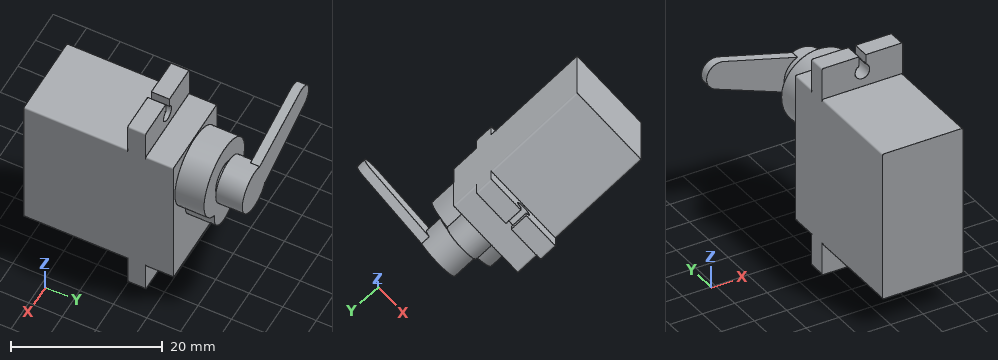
import cadquery as cq
import math


case_width = 12.45
case_length = 22.33
case_height = 22.8
edge_radius = 0.3

flange_height = 32.45
flange_start = 15.5
flange_thickness = 2.7
screw_hole_diameter = 2.25
screw_hole_inset = 2.45
slot_width = 1.05

axis_z = 5.35
turret_diameter = 11.55
turret_length = 4.35
lobe_diameter = 5.58
lobe_drop = 6.0

shaft_diameter = 4.93
shaft_length = 0.55
hub_diameter = 7.0
hub_length = 3.95
arm_thickness = 1.4
arm_tip_radius = 2.08
arm_tip_x = -13.35
arm_tip_rise = 4.28
upper_root = (-0.8, 3.02)
lower_root = (-2.27, -2.1)

turret_end = case_length + turret_length
shaft_end = turret_end + shaft_length
horn_end = shaft_end + hub_length


def plane_at(y, z=0.0):
    """Work plane facing -Y; negative extrusions run toward +Y."""
    return cq.Workplane("XZ", origin=(0, y, z))


def rounded_block(height, start, length):
    """Case-wide block with its four edges along Y rounded."""
    block = plane_at(start).rect(case_width, height).extrude(-length)
    return block.edges("|Y").fillet(edge_radius)


def cylinder(diameter, start, length, z=axis_z):
    return plane_at(start, z).circle(diameter / 2).extrude(-length)


def keyhole(end):
    """Cutter for the screw hole and its open slot; end is +1 for top, -1 for bottom."""
    hole_z = flange_height / 2 - screw_hole_inset
    hole = cylinder(screw_hole_diameter, flange_start, flange_thickness, end * hole_z)
    slot_z = end * (hole_z + screw_hole_inset / 2)
    slot = (
        plane_at(flange_start, slot_z)
        .rect(slot_width, screw_hole_inset)
        .extrude(-flange_thickness)
    )
    return hole.union(slot)


def gear_cover():
    lobe_z = axis_z - lobe_drop
    turret = cylinder(turret_diameter, case_length, turret_length)
    lobe_end = cylinder(lobe_diameter, case_length, turret_length, lobe_z)
    bridge = (
        plane_at(case_length, axis_z - lobe_drop / 2)
        .rect(lobe_diameter, lobe_drop)
        .extrude(-turret_length)
    )
    return turret.union(bridge).union(lobe_end)


def make_housing():
    housing = rounded_block(case_height, 0, case_length)
    flange = rounded_block(flange_height, flange_start, flange_thickness)
    for end in (1, -1):
        flange = flange.cut(keyhole(end))
    return housing.union(flange).union(gear_cover())


def make_shaft():
    return cylinder(shaft_diameter, turret_end, shaft_length)


def tip_point(angle):
    """Point on the arm tip circle, relative to the shaft axis."""
    return (
        arm_tip_x + arm_tip_radius * math.cos(angle),
        arm_tip_rise + arm_tip_radius * math.sin(angle),
    )


def tangent_angle(root, side):
    """Angle on the tip circle where the edge from root touches it; side +1 is upper."""
    run = root[0] - arm_tip_x
    rise = root[1] - arm_tip_rise
    return math.atan2(rise, run) + side * math.acos(arm_tip_radius / math.hypot(run, rise))


def make_horn():
    """Round hub with a tapering arm whose straight edges are tangent to the tip."""
    upper_angle = tangent_angle(upper_root, 1)
    lower_angle = tangent_angle(lower_root, -1)
    middle_angle = (upper_angle + lower_angle) / 2 + math.pi
    arm = (
        plane_at(horn_end - arm_thickness, axis_z)
        .moveTo(*upper_root)
        .lineTo(*tip_point(upper_angle))
        .threePointArc(tip_point(middle_angle), tip_point(lower_angle))
        .lineTo(*lower_root)
        .close()
        .extrude(-arm_thickness)
    )
    return cylinder(hub_diameter, shaft_end, hub_length).union(arm)


housing = make_housing()
shaft = make_shaft()
horn = make_horn()

result = cq.Compound.makeCompound([housing.val(), shaft.val(), horn.val()])